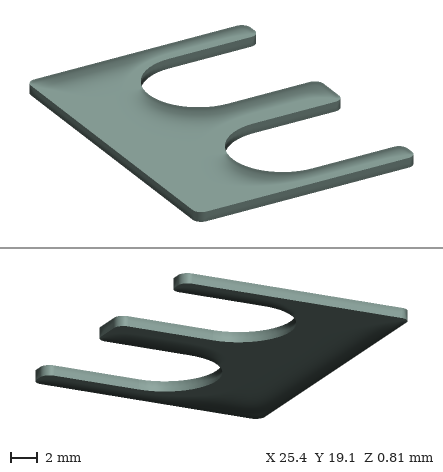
import cadquery as cq

width = 25.4
depth = 19.05
thickness = 0.81
corner_radius = 0.75

slot_width = 8.64
slot_spacing = 12.45
slot_depth = 12.2

slot_radius = slot_width / 2
back_edge = depth / 2
slot_center_y = back_edge - slot_depth + slot_radius


def slot_cutter(center_x):
    """Solid of one slot: a straight channel ending in a half circle."""
    left = center_x - slot_radius
    right = center_x + slot_radius
    return (
        cq.Workplane("XY")
        .moveTo(left, back_edge)
        .lineTo(left, slot_center_y)
        .threePointArc((center_x, slot_center_y - slot_radius), (right, slot_center_y))
        .lineTo(right, back_edge)
        .close()
        .extrude(thickness)
    )


plate = cq.Workplane("XY").box(width, depth, thickness, centered=(True, True, False))
for center_x in (-slot_spacing / 2, slot_spacing / 2):
    plate = plate.cut(slot_cutter(center_x))

tip_edges = plate.faces(">Y").edges("|Z")
front_edges = plate.faces("<Y").edges("|Z")
result = plate.newObject(tip_edges.vals() + front_edges.vals()).fillet(corner_radius)